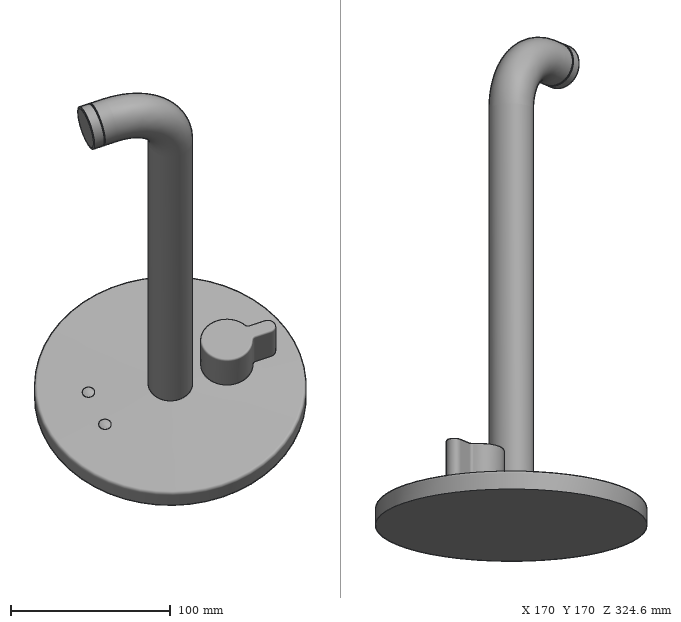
import cadquery as cq
import math

base_radius = 85.0
rim_height = 10.2
rim_rounding = 2.0
cone_angle = 1.5

total_height = 324.57
tube_radius = 14.0
bend_radius = 41.0
outlet_reach = 57.3
outlet_groove_y = -50.0
outlet_groove_width = 0.6
outlet_groove_depth = 0.4
outlet_bevel_axial = 0.4
outlet_bevel_radial = 1.2

knob_center_y = 38.2
knob_radius = 16.4
finger_width = 10.0
finger_tip_y = 70.9
neck_fillet = 2.5
lever_top_z = 40.0
lever_bottom_z = 14.3
lever_seat_inset = 2.0
lever_edge_rounding = 1.2

indicator_x = 13.5
indicator_y = -49.7
indicator_radius = 4.0
indicator_dome_height = 0.9

cone_slope = math.tan(math.radians(cone_angle))
cone_edge_radius = base_radius - rim_rounding
cone_edge_z = rim_height + rim_rounding
cone_apex_z = cone_edge_z + cone_edge_radius * cone_slope
indicator_distance = math.hypot(indicator_x, indicator_y)
indicator_rim_z = cone_apex_z - indicator_distance * cone_slope
outlet_axis_z = total_height - tube_radius
bend_start_z = outlet_axis_z - bend_radius


def make_base():
    """Disc revolved about Z from its half section."""
    return (
        cq.Workplane("XZ")
        .lineTo(base_radius, 0)
        .lineTo(base_radius, rim_height)
        .radiusArc((cone_edge_radius, cone_edge_z), -rim_rounding)
        .lineTo(0, cone_apex_z)
        .close()
        .revolve(360, (0, 0), (0, 1))
    )


def make_spout():
    """Tube swept up from the base, round the bend and out to the outlet face."""
    path = (
        cq.Workplane("YZ")
        .moveTo(0, rim_height)
        .lineTo(0, bend_start_z)
        .radiusArc((-bend_radius, outlet_axis_z), -bend_radius)
        .lineTo(-outlet_reach, outlet_axis_z)
    )
    spout = cq.Workplane("XY", origin=(0, 0, rim_height)).circle(tube_radius).sweep(path)
    spout = spout.faces("<Y").edges().chamfer(outlet_bevel_axial, outlet_bevel_radial)
    groove = (
        cq.Workplane("XZ", origin=(0, outlet_groove_y + outlet_groove_width / 2, outlet_axis_z))
        .circle(tube_radius + outlet_groove_depth)
        .circle(tube_radius - outlet_groove_depth)
        .extrude(outlet_groove_width)
    )
    return spout.cut(groove)


def make_lever():
    """Knob with a finger, held just clear of the sloping top by a narrower seat."""
    height = lever_top_z - lever_bottom_z
    finger_length = finger_tip_y - knob_center_y
    finger_radius = finger_width / 2
    plane = cq.Workplane("XY", origin=(0, knob_center_y, lever_bottom_z))
    knob = plane.circle(knob_radius).extrude(height)
    finger = (
        plane.moveTo(-finger_radius, 0)
        .lineTo(-finger_radius, finger_length - finger_radius)
        .threePointArc((0, finger_length), (finger_radius, finger_length - finger_radius))
        .lineTo(finger_radius, 0)
        .close()
        .extrude(height)
    )
    neck_y = knob_center_y + math.sqrt(knob_radius**2 - finger_radius**2)
    neck_margin = 1.0
    neck_zone = cq.selectors.BoxSelector(
        (-finger_width, neck_y - neck_margin, lever_bottom_z - neck_margin),
        (finger_width, neck_y + neck_margin, lever_top_z + neck_margin),
    )
    lever = knob.union(finger).edges("|Z").edges(neck_zone).fillet(neck_fillet)
    lever = lever.faces(">Z").edges().fillet(lever_edge_rounding)
    seat = (
        cq.Workplane("XY", origin=(0, knob_center_y, rim_height))
        .circle(knob_radius - lever_seat_inset)
        .extrude(lever_bottom_z - rim_height)
    )
    return lever.union(seat)


def make_indicator(x):
    """Round button with a shallow domed top, revolved about its own axis."""
    dome_radius = (indicator_radius**2 + indicator_dome_height**2) / (2 * indicator_dome_height)
    return (
        cq.Workplane("XZ", origin=(x, indicator_y, 0))
        .moveTo(0, rim_height)
        .lineTo(indicator_radius, rim_height)
        .lineTo(indicator_radius, indicator_rim_z)
        .radiusArc((0, indicator_rim_z + indicator_dome_height), -dome_radius)
        .close()
        .revolve(360, (0, 0), (0, 1))
    )


result = make_base().union(make_spout()).union(make_lever())
for side in (-1, 1):
    result = result.union(make_indicator(side * indicator_x))